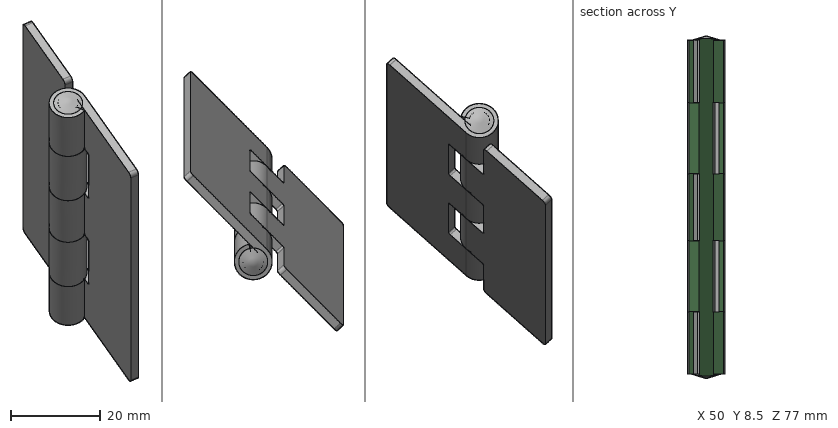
import cadquery as cq
import math


hinge_width = 50.0
leaf_height = 75.0
sheet = 2.0
pin_diameter = 4.5
head_diameter = 6.5
head_height = 1.0
middle_knuckle = 15.0
inner_knuckle = 16.0
notch_clearance = 1.25
corner_radius = 1.0
notch_radius = 0.5
roll_end_angle = 30.0

half_width = hinge_width / 2
half_height = leaf_height / 2
bore_radius = pin_diameter / 2
barrel_radius = bore_radius + sheet
notch_edge = barrel_radius + notch_clearance
middle_end = middle_knuckle / 2
inner_end = middle_end + inner_knuckle

left_knuckles = [(-inner_end, -middle_end), (middle_end, inner_end)]
right_knuckles = [(-half_height, -inner_end), (-middle_end, middle_end), (inner_end, half_height)]


def polar(radius, angle):
    """Point in XY at an angle in degrees from +X about the pin axis."""
    turn = math.radians(angle)
    return (radius * math.cos(turn), radius * math.sin(turn))


def rolled_sheet():
    """Full-height sheet reaching to +X, its near edge rolled round the pin."""
    middle_angle = (90 + 360 + roll_end_angle) / 2
    return (
        cq.Workplane("XY", origin=(0, 0, -half_height))
        .moveTo(half_width, bore_radius)
        .lineTo(half_width, barrel_radius)
        .lineTo(0, barrel_radius)
        .threePointArc(polar(barrel_radius, middle_angle), polar(barrel_radius, roll_end_angle))
        .lineTo(*polar(bore_radius, roll_end_angle))
        .threePointArc(polar(bore_radius, middle_angle), (0, bore_radius))
        .close()
        .extrude(leaf_height)
    )


def notch(bottom, top):
    """Block that clears the sheet for a knuckle of the opposite leaf."""
    width = barrel_radius + notch_edge
    depth = 2 * barrel_radius
    block = (
        cq.Workplane("XY", origin=(-barrel_radius, -barrel_radius, bottom))
        .box(width, depth, top - bottom, centered=False)
    )
    if bottom > -half_height:
        block = block.edges(">X and <Z").fillet(notch_radius)
    if top < half_height:
        block = block.edges(">X and >Z").fillet(notch_radius)
    return block


def leaf(notches):
    """Leaf on the +X side, with the given Z ranges notched out."""
    body = rolled_sheet().edges("|Y and >X").fillet(corner_radius)
    for bottom, top in notches:
        body = body.cut(notch(bottom, top))
    return body


def round_notch_tips(body):
    """Round the leaf corners left where notches run out at the leaf ends."""
    reach = corner_radius / 2
    tips = cq.selectors.BoxSelector(
        (notch_edge - reach, 0, -half_height - reach),
        (notch_edge + reach, 2 * barrel_radius, half_height + reach),
    )
    return body.edges("|Y").edges(tips).edges("<Z or >Z").fillet(corner_radius)


def make_pin():
    """Shaft filling the bore, with a shallow conical head on each end."""
    tip = half_height + head_height
    head_radius = head_diameter / 2
    return (
        cq.Workplane("XZ")
        .moveTo(0, -tip)
        .lineTo(head_radius, -half_height)
        .lineTo(bore_radius, -half_height)
        .lineTo(bore_radius, half_height)
        .lineTo(head_radius, half_height)
        .lineTo(0, tip)
        .close()
        .revolve(360, (0, 0, 0), (0, 1, 0))
    )


right_leaf = leaf(left_knuckles)
left_leaf = round_notch_tips(leaf(right_knuckles)).mirror("YZ")
pin = make_pin()

result = cq.Compound.makeCompound([left_leaf.val(), right_leaf.val(), pin.val()])